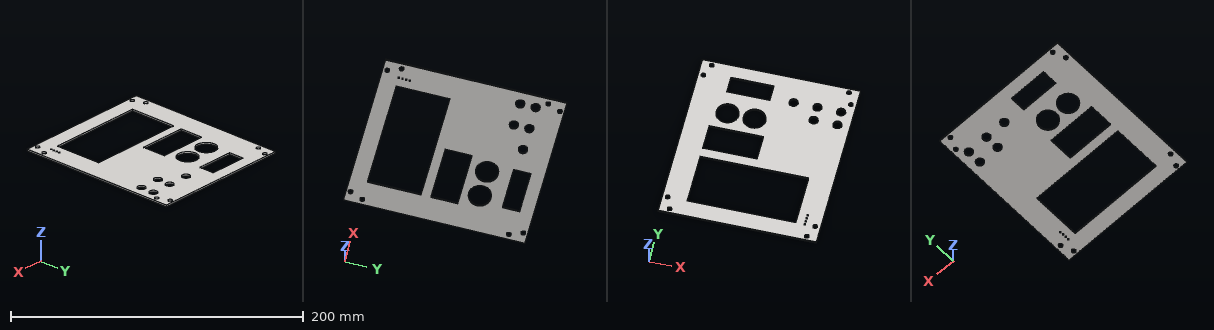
import cadquery as cq

WIDTH = 111.4
HEIGHT = 128.5
THICKNESS = 1.5

SCREW_DIAMETER = 3.1
EDGE_SCREW_X = 48.3
EDGE_SCREW_Y = 61.2
SIDE_SCREW_X = 51.9
SIDE_SCREW_Y = 51.9

DISPLAY_WIDTH = 76.3
DISPLAY_HEIGHT = 37.9
DISPLAY_BOTTOM = -51.9
METER_WIDTH = DISPLAY_WIDTH / 2
METER_HEIGHT = DISPLAY_HEIGHT / 2
METER_BOTTOM = -7.0
WINDOW_LEFT = -DISPLAY_WIDTH / 2
SWITCH_WIDTH = 30.2
SWITCH_HEIGHT = 12.2
SWITCH_LEFT = -33.2
SWITCH_BOTTOM = 42.3

LARGE_COUNT = 2
LARGE_DIAMETER = 15.7
LARGE_PITCH = 19.0
LARGE_LEFT_X = -28.4
LARGE_Y = 25.0

BUTTON_DIAMETER = 6.2
BUTTON_PITCH_X = 16.7
BUTTON_PITCH_Y = 10.9
BUTTON_RIGHT_X = 46.9
BUTTON_TOP_Y = 44.3
UPPER_BUTTONS = 3
LOWER_BUTTONS = 2

PIN_DIAMETER = 1.0
PIN_COUNT = 4
PIN_PITCH = 2.6
PIN_X = 44.7
PIN_BOTTOM_Y = -SIDE_SCREW_Y


def cut_window(panel, left, bottom, width, height):
    """Cut a rectangular through-window given its lower-left corner."""
    cutter = cq.Workplane("XY").box(width, height, THICKNESS, centered=False)
    return panel.cut(cutter.translate((left, bottom, 0)))


def drill(panel, centres, diameter):
    """Drill through-holes of one diameter at the given XY centres."""
    cutter = cq.Workplane("XY").pushPoints(centres).circle(diameter / 2).extrude(THICKNESS)
    return panel.cut(cutter)


def button_row(count, y):
    """Centres of a button row that ends at the right-hand column."""
    return [(BUTTON_RIGHT_X - i * BUTTON_PITCH_X, y) for i in range(count)]


panel = cq.Workplane("XY").box(WIDTH, HEIGHT, THICKNESS, centered=(True, True, False))

panel = cut_window(panel, WINDOW_LEFT, DISPLAY_BOTTOM, DISPLAY_WIDTH, DISPLAY_HEIGHT)
panel = cut_window(panel, WINDOW_LEFT, METER_BOTTOM, METER_WIDTH, METER_HEIGHT)
panel = cut_window(panel, SWITCH_LEFT, SWITCH_BOTTOM, SWITCH_WIDTH, SWITCH_HEIGHT)

screw_pair = [(EDGE_SCREW_X, EDGE_SCREW_Y), (SIDE_SCREW_X, SIDE_SCREW_Y)]
screws = [(sx * x, sy * y) for x, y in screw_pair for sx in (-1, 1) for sy in (-1, 1)]
panel = drill(panel, screws, SCREW_DIAMETER)

large_holes = [(LARGE_LEFT_X + i * LARGE_PITCH, LARGE_Y) for i in range(LARGE_COUNT)]
panel = drill(panel, large_holes, LARGE_DIAMETER)

upper_row = button_row(UPPER_BUTTONS, BUTTON_TOP_Y)
lower_row = button_row(LOWER_BUTTONS, BUTTON_TOP_Y - BUTTON_PITCH_Y)
panel = drill(panel, upper_row + lower_row, BUTTON_DIAMETER)

pins = [(PIN_X, PIN_BOTTOM_Y + i * PIN_PITCH) for i in range(PIN_COUNT)]
panel = drill(panel, pins, PIN_DIAMETER)

result = panel